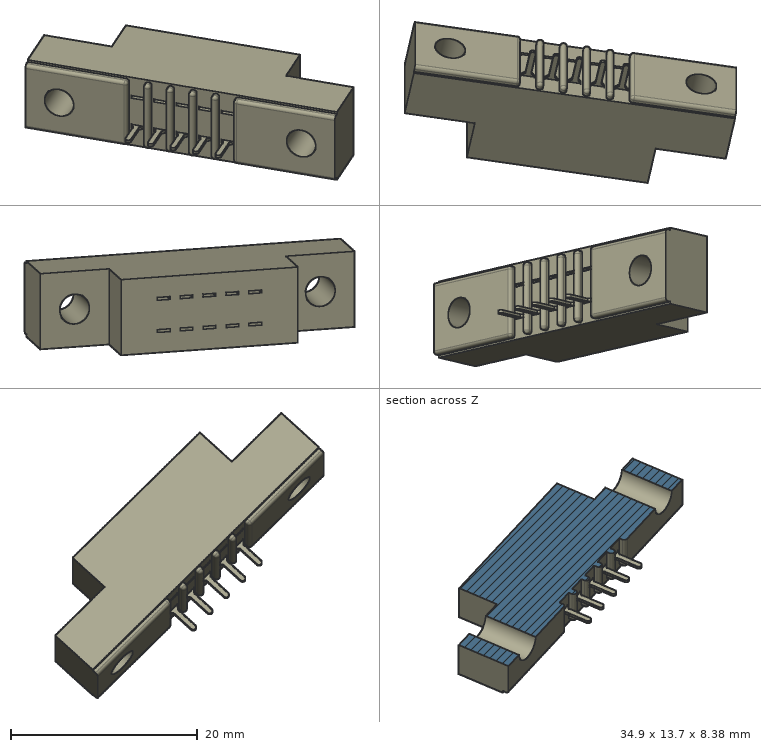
import cadquery as cq

length = 34.92
height = 8.38
block_depth = 10.35
tower_length = 19.65
tower_depth = 4.75
rear_y = block_depth
shoulder_y = rear_y - tower_depth

relief_height = 7.9
relief_depth = 0.75
edge_radius = 0.4
pad_inner_x = 5.97
pad_length = length / 2 - pad_inner_x
rib_radius = 0.4

hole_diameter = 3.28
hole_spacing = 27.3

contact_count = 5
row_length = 10.15
pitch = row_length / (contact_count - 1)
row_z = 1.78
slot_width = 1.4
slot_height = 0.3
pin_width = 0.63
pin_tip_y = -3.3

contact_xs = [(i - (contact_count - 1) / 2) * pitch for i in range(contact_count)]
rib_xs = [x + pitch / 2 for x in contact_xs[:-1]]


def make_block():
    """Flange and tower, both the full height of the housing."""
    flange = cq.Workplane("XY").box(length, shoulder_y, height, centered=(True, False, True))
    tower = cq.Workplane("XY").box(tower_length, rear_y, height, centered=(True, False, True))
    return flange.union(tower)


def make_pad(side):
    """Raised pad on one end (side is -1 or 1), rounded except on its square outer end."""
    pad = (
        cq.Workplane("XY")
        .box(pad_length, relief_depth, relief_height, centered=(False, False, True))
        .edges("(<X and |Y) or (<Y and (not >X))")
        .fillet(edge_radius)
        .translate((pad_inner_x, -relief_depth, 0))
    )
    return pad if side > 0 else pad.mirror("YZ")


def make_rib(x):
    """Upright rib with a round nose and ball-shaped ends."""
    nose_y = rib_radius - relief_depth
    straight = relief_height - 2 * rib_radius
    base = cq.Workplane("XZ").slot2D(relief_height, 2 * rib_radius, 90).extrude(-nose_y)
    nose = cq.Workplane("XY").circle(rib_radius).extrude(straight / 2, both=True)
    for end in (-1, 1):
        nose = nose.union(cq.Workplane("XY").sphere(rib_radius).translate((0, 0, end * straight / 2)))
    return base.union(nose.translate((0, nose_y, 0))).translate((x, 0, 0))


def make_slot(x, z):
    """Cutter for one contact slot, running through the housing from front to rear."""
    slot = cq.Workplane("XY").box(slot_width, block_depth, slot_height, centered=(True, False, True))
    return slot.translate((x, 0, z))


def make_housing():
    body = make_block()
    for side in (-1, 1):
        body = body.union(make_pad(side))
    for x in rib_xs:
        body = body.union(make_rib(x))
    for x in contact_xs:
        for z in (-row_z, row_z):
            body = body.cut(make_slot(x, z))
    for side in (-1, 1):
        hole = cq.Workplane("XZ").center(side * hole_spacing / 2, 0).circle(hole_diameter / 2)
        body = body.cut(hole.extrude(length, both=True))
    return body


def make_pin(x):
    """Flat pin: a blade filling its slot, a 45-degree taper at the front face and a round-tipped tail."""
    half_slot = slot_width / 2
    half_pin = pin_width / 2
    taper = half_slot - half_pin
    tip_start_y = pin_tip_y + half_pin
    outline = (
        cq.Workplane("XY", origin=(x, 0, -row_z - slot_height / 2))
        .moveTo(-half_slot, rear_y)
        .lineTo(-half_slot, 0)
        .lineTo(-half_pin, -taper)
        .lineTo(-half_pin, tip_start_y)
        .threePointArc((0, pin_tip_y), (half_pin, tip_start_y))
        .lineTo(half_pin, -taper)
        .lineTo(half_slot, 0)
        .lineTo(half_slot, rear_y)
        .close()
    )
    return outline.extrude(slot_height)


housing = make_housing()
pins = [make_pin(x) for x in contact_xs]

result = cq.Compound.makeCompound([housing.solids().val(), *[pin.val() for pin in pins]])